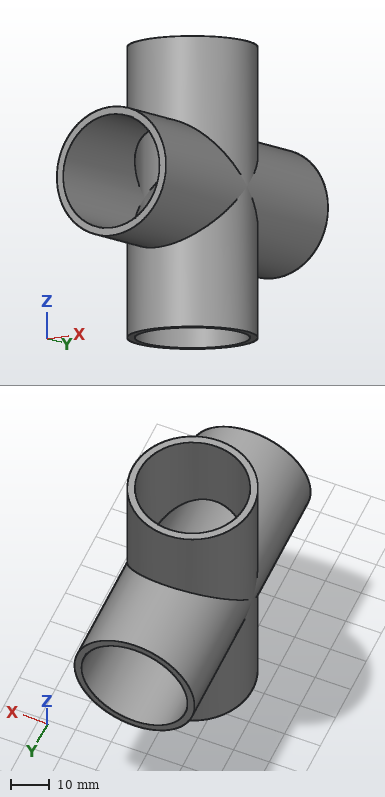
import cadquery as cq

OUTER_DIAMETER = 33.7
WALL_THICKNESS = 2.0
RUN_LENGTH = 76.0

BORE_DIAMETER = OUTER_DIAMETER - 2 * WALL_THICKNESS


def crossed_cylinders(diameter):
    """Two full-length cylinders along Z and Y, joined at the origin."""
    vertical = cq.Workplane("XY").circle(diameter / 2).extrude(RUN_LENGTH / 2, both=True)
    horizontal = cq.Workplane("XZ").circle(diameter / 2).extrude(RUN_LENGTH / 2, both=True)
    return vertical.union(horizontal)


result = crossed_cylinders(OUTER_DIAMETER).cut(crossed_cylinders(BORE_DIAMETER))